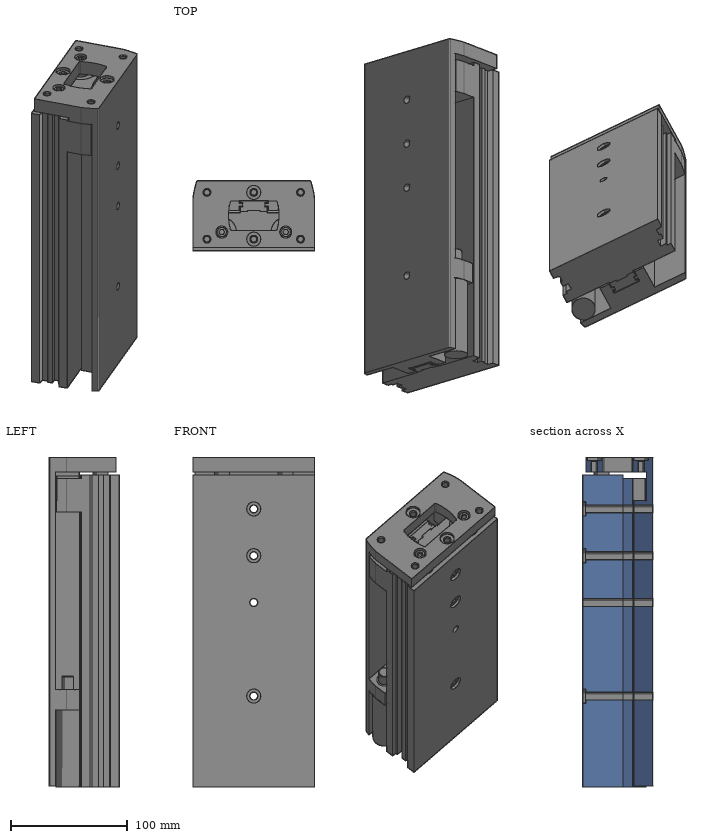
import cadquery as cq
import math


width = 104.0
depth = 60.0
total_height = 281.8
half_width = width / 2

end_plate_thickness = 12.5
end_plate_front_y = 2.7
end_plate_bottom_z = total_height - end_plate_thickness
table_bottom_z = 0.8
table_inner_y = 54.5
side_curve_start_y = 45.0
side_curve_drop = 3.4
side_curve_bow = 0.45
back_corner_radius = 1.5

housing_height = 266.8
housing_back_y = 32.6
housing_edge_chamfer = 0.3

stop_inner_x = 30.0
housing_stop_bottom_z = 235.0
damper_stop_top_z = 264.0
return_stop_bottom_z = 265.8
housing_stop_back_y = 53.7
damper_mount_bottom_z = 65.7
damper_mount_top_z = 83.4

rail_width = 23.2
rail_top_z = 264.0
rail_back_y = 43.0
rail_seat_y = 33.5
rail_key_width = 10.5
rail_key_height = 1.2
rail_groove_depth = 2.0
rail_groove_height = 3.6
rail_groove_y = 39.5
guide_half_width = 21.0
guide_front_y = 34.2
guide_top_z = 245.0
guide_clearance = 0.7
guide_lip_height = 2.4

slot_front_y = 7.5
slot_step_y = 13.4
slot_mouth_front_y = 17.8
slot_mouth_back_y = 23.2
slot_end_y = 25.0
slot_front_depth = 5.4
slot_flank_y = 8.4
slot_lip_depth = 3.8
slot_deep_depth = 9.0

rod_x = 27.3
rod_y = 16.1
rod_diameter = 12.92
rod_depth_in_housing = 40.0
rod_seat_diameter = 25.0
rod_seat_depth = 1.0
screw_neck_diameter = 5.6
screw_head_diameter = 7.9
screw_recess_diameter = 10.2
screw_recess_depth = 7.0
screw_head_height = 5.5
screw_socket_across_corners = 4.92
screw_socket_depth = 2.5

thread_drill_diameter = 4.92
thread_mouth_diameter = 6.65
thread_depth = 10.0
hole_row_x = 40.0
hole_row_y = (10.0, 50.0)
dowel_recess_diameter = 12.0
dowel_recess_depth = 2.5
window_half_width = 19.8
window_bulge = 1.8
window_front_y = 17.6
window_back_y = 42.7
window_corner_radius = 1.2

mount_hole_diameter = 6.5
mount_recess_diameter = 12.0
mount_recess_depth = 2.5
mount_hole_pitch = 40.0
mount_top_z = 237.8
recessed_hole_z = [mount_top_z - step * mount_hole_pitch for step in (0, 1, 4)]
plain_hole_z = mount_top_z - 2 * mount_hole_pitch

damper_x = -42.0
damper_y = 44.2
damper_body_diameter = 20.0
damper_neck_diameter = 12.92
damper_tip_diameter = 10.0
damper_tip_top_z = 94.8
damper_tip_chamfer = 0.5


def box(x_range, y_range, z_range):
    """Block between two limits on each axis."""
    size = [high - low for low, high in (x_range, y_range, z_range)]
    corner = (x_range[0], y_range[0], z_range[0])
    return cq.Workplane("XY").box(*size, centered=False).translate(corner)


def rod(diameter, x, y, bottom_z, top_z):
    """Cylinder along Z."""
    return cq.Workplane("XY", origin=(x, y, bottom_z)).circle(diameter / 2).extrude(top_z - bottom_z)


def outline_prism(bottom_z, top_z):
    """Prism with the carriage's outline: a box whose sides curve in towards the back."""
    run = depth - side_curve_start_y
    chord = math.hypot(run, side_curve_drop)
    mid_x = half_width - side_curve_drop / 2 + side_curve_bow * run / chord
    mid_y = side_curve_start_y + run / 2 + side_curve_bow * side_curve_drop / chord
    back_x = half_width - side_curve_drop
    return (
        cq.Workplane("XY", origin=(0, 0, bottom_z))
        .moveTo(-half_width, 0)
        .lineTo(half_width, 0)
        .lineTo(half_width, side_curve_start_y)
        .threePointArc((mid_x, mid_y), (back_x, depth))
        .lineTo(-back_x, depth)
        .threePointArc((-mid_x, mid_y), (-half_width, side_curve_start_y))
        .close()
        .extrude(top_z - bottom_z)
        .edges("|Z and >Y")
        .fillet(back_corner_radius)
    )


def outline_block(x_range, y_range, z_range):
    """Block trimmed to the carriage's outline."""
    return outline_prism(*z_range).intersect(box(x_range, y_range, z_range))


def mount_holes():
    """Holes drilled through the whole part from the front face."""
    points = [(0, z) for z in [*recessed_hole_z, plain_hole_z]]
    return cq.Workplane("XZ").pushPoints(points).circle(mount_hole_diameter / 2).extrude(-depth)


def sensor_slot():
    """Stepped slot along the left side of the housing."""
    side = -half_width
    points = [
        (side, slot_front_y),
        (side + slot_front_depth, slot_flank_y),
        (side + slot_front_depth, slot_step_y),
        (side + slot_lip_depth, slot_step_y),
        (side + slot_lip_depth, slot_mouth_front_y),
        (side + slot_deep_depth, slot_mouth_front_y),
        (side + slot_deep_depth, slot_mouth_back_y),
        (side + slot_lip_depth, slot_mouth_back_y),
        (side + slot_lip_depth, slot_end_y),
        (side, slot_end_y),
    ]
    return cq.Workplane("XY").polyline(points).close().extrude(housing_height)


def rail_key(top_z):
    """Key along the rail seat that locates the rail."""
    return box(
        (-rail_key_width / 2, rail_key_width / 2),
        (rail_seat_y, rail_seat_y + rail_key_height),
        (0, top_z),
    )


def make_housing():
    body = box((-half_width, half_width), (0, housing_back_y), (0, housing_height))
    body = body.edges("|Z and >Y").chamfer(housing_edge_chamfer)
    slot = sensor_slot()
    body = body.cut(slot).cut(slot.mirror("YZ"))
    seat = box((-rail_width / 2, rail_width / 2), (housing_back_y, rail_seat_y), (0, housing_height))
    body = body.union(seat).union(rail_key(housing_height))
    y_range = (housing_back_y - housing_edge_chamfer, housing_stop_back_y)
    damper_stop = outline_block(
        (-half_width, -stop_inner_x),
        y_range,
        (housing_stop_bottom_z, damper_stop_top_z),
    )
    return_stop = outline_block(
        (stop_inner_x, half_width),
        y_range,
        (housing_stop_bottom_z, return_stop_bottom_z),
    )
    body = body.union(damper_stop).union(return_stop)
    for x in (-rod_x, rod_x):
        body = body.cut(rod(rod_diameter, x, rod_y, housing_height - rod_depth_in_housing, housing_height))
        body = body.cut(rod(rod_seat_diameter, x, rod_y, housing_height - rod_seat_depth, housing_height))
    recesses = (
        cq.Workplane("XZ")
        .pushPoints([(0, z) for z in recessed_hole_z])
        .circle(mount_recess_diameter / 2)
        .extrude(-mount_recess_depth)
    )
    return body.cut(mount_holes()).cut(recesses)


def make_rail():
    half = rail_width / 2
    rail = box((-half, half), (rail_seat_y, rail_back_y), (0, rail_top_z))
    groove = box(
        (-half, -half + rail_groove_depth),
        (rail_groove_y - rail_groove_height / 2, rail_groove_y + rail_groove_height / 2),
        (0, rail_top_z),
    )
    return rail.cut(rail_key(rail_top_z)).cut(groove).cut(groove.mirror("YZ")).cut(mount_holes())


def guide_shoe():
    """Channel on the table plate that straddles the rail, with a lip in each rail groove."""
    z_range = (table_bottom_z, guide_top_z)
    channel_half = rail_width / 2 + guide_clearance
    shoe = box((-guide_half_width, guide_half_width), (guide_front_y, table_inner_y), z_range)
    channel_y = (guide_front_y, rail_back_y + guide_clearance)
    shoe = shoe.cut(box((-channel_half, channel_half), channel_y, z_range))
    lip = box(
        (-channel_half, -rail_width / 2 + rail_groove_depth),
        (rail_groove_y - guide_lip_height / 2, rail_groove_y + guide_lip_height / 2),
        z_range,
    )
    return shoe.union(lip).union(lip.mirror("YZ"))


def window():
    """Opening through the end plate, with sides that bulge outwards."""
    mid_y = (window_front_y + window_back_y) / 2
    bulge_x = window_half_width + window_bulge
    return (
        cq.Workplane("XY", origin=(0, 0, end_plate_bottom_z))
        .moveTo(-window_half_width, window_front_y)
        .lineTo(window_half_width, window_front_y)
        .threePointArc((bulge_x, mid_y), (window_half_width, window_back_y))
        .lineTo(-window_half_width, window_back_y)
        .threePointArc((-bulge_x, mid_y), (-window_half_width, window_front_y))
        .close()
        .extrude(end_plate_thickness)
        .edges("|Z")
        .fillet(window_corner_radius)
    )


def end_plate_holes(plate):
    mouth_depth = (thread_mouth_diameter - thread_drill_diameter) / 2
    for y in hole_row_y:
        plate = plate.cut(rod(dowel_recess_diameter, 0, y, total_height - dowel_recess_depth, total_height))
        for x in (-hole_row_x, 0, hole_row_x):
            mouth_z = total_height - (dowel_recess_depth if x == 0 else 0)
            mouth = (
                cq.Workplane("XY", origin=(x, y, mouth_z))
                .circle(thread_mouth_diameter / 2)
                .workplane(offset=-mouth_depth)
                .circle(thread_drill_diameter / 2)
                .loft()
            )
            plate = plate.cut(rod(thread_drill_diameter, x, y, mouth_z - thread_depth, mouth_z)).cut(mouth)
    for x in (-rod_x, rod_x):
        recess_z = total_height - screw_recess_depth
        plate = plate.cut(rod(screw_neck_diameter, x, rod_y, end_plate_bottom_z, total_height))
        plate = plate.cut(rod(screw_recess_diameter, x, rod_y, recess_z, total_height))
    return plate


def make_carriage():
    full_x = (-half_width, half_width)
    plate = outline_block(full_x, (end_plate_front_y, depth), (end_plate_bottom_z, total_height))
    plate = end_plate_holes(plate.cut(window()))
    table = outline_block(full_x, (table_inner_y, depth), (table_bottom_z, end_plate_bottom_z))
    damper_mount = outline_block(
        (-half_width, -guide_half_width),
        (guide_front_y, table_inner_y),
        (damper_mount_bottom_z, damper_mount_top_z),
    ).cut(rod(damper_neck_diameter, damper_x, damper_y, damper_mount_bottom_z, damper_mount_top_z))
    return_stop = outline_block(
        (stop_inner_x, half_width),
        (guide_front_y, table_inner_y),
        (return_stop_bottom_z, end_plate_bottom_z),
    )
    return plate.union(table).union(guide_shoe()).union(damper_mount).union(return_stop).cut(mount_holes())


def make_piston_rod(x):
    """Rod with its clamping screw as one piece, socket up."""
    recess_z = total_height - screw_recess_depth
    head_z = recess_z + screw_head_height
    piston_rod = rod(rod_diameter, x, rod_y, housing_height - rod_depth_in_housing, end_plate_bottom_z)
    piston_rod = piston_rod.union(rod(screw_neck_diameter, x, rod_y, end_plate_bottom_z, recess_z))
    piston_rod = piston_rod.union(rod(screw_head_diameter, x, rod_y, recess_z, head_z))
    socket = (
        cq.Workplane("XY", origin=(x, rod_y, head_z))
        .polygon(6, screw_socket_across_corners)
        .extrude(-screw_socket_depth)
    )
    return piston_rod.cut(socket)


def make_shock_absorber():
    body = rod(damper_body_diameter, damper_x, damper_y, 0, damper_mount_bottom_z)
    neck = rod(damper_neck_diameter, damper_x, damper_y, damper_mount_bottom_z, damper_mount_top_z)
    tip = rod(damper_tip_diameter, damper_x, damper_y, damper_mount_top_z, damper_tip_top_z)
    tip = tip.faces(">Z").chamfer(damper_tip_chamfer)
    return body.union(neck).union(tip)


housing = make_housing()
rail = make_rail()
carriage = make_carriage()
shock_absorber = make_shock_absorber()
piston_rods = [make_piston_rod(x) for x in (-rod_x, rod_x)]

result = cq.Compound.makeCompound(
    [
        housing.val(),
        rail.val(),
        carriage.val(),
        shock_absorber.val(),
        *[piston_rod.val() for piston_rod in piston_rods],
    ]
)